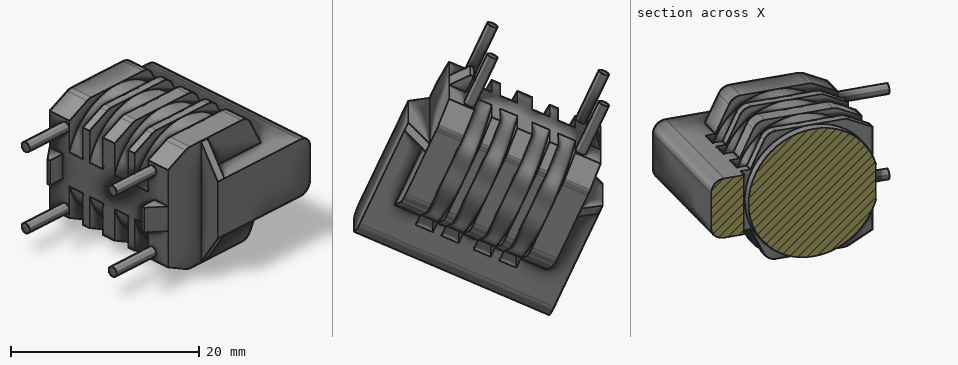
import cadquery as cq

OVERLAP = 0.25

BOBBIN_WIDTH = 17.7
BOBBIN_HALF_HEIGHT = 7.5
FRONT_SLOPE_DEPTH = 3.0
FRONT_SLOPE_DROP = FRONT_SLOPE_DEPTH / 2
REAR_SLOPE_START = 12.05
BOBBIN_EDGE_RADIUS = 1.5

CORE_WIDTH = 22.7
CORE_HALF_HEIGHT = 3.5
CORE_FRONT = 5.0
CORE_REAR = 19.0
CORE_EDGE_RADIUS = 1.5
REAR_SLOPE_DEPTH = (BOBBIN_HALF_HEIGHT - CORE_HALF_HEIGHT) / 2

FLANGE_THICKNESS = 1.0
FLANGE_HALF_HEIGHT = 7.4

WINDING_RADIUS = 7.5
WINDING_CENTER = 7.2
SLOT_WIDTH = 2.0
SLOT_REAR = 15.18
INNER_SLOT_X = 1.88
SLOT_PITCH = 3.0
OUTER_SLOT_X = INNER_SLOT_X + SLOT_PITCH
SLOT_CENTERS = (-OUTER_SLOT_X, -INNER_SLOT_X, INNER_SLOT_X, OUTER_SLOT_X)

PIN_DIAMETER = 1.2
PIN_LENGTH = 6.0
PIN_SPACING_X = 13.0
PIN_SPACING_Z = 10.0

TAB_LENGTH = 1.95
TAB_HEIGHT = 3.05
TAB_BASE_WIDTH = 2.0
TAB_TIP_WIDTH = 0.4


def make_bobbin():
    """Block with sloping front and rear, rounded where the slopes meet the flat top and bottom."""
    front_z = BOBBIN_HALF_HEIGHT - FRONT_SLOPE_DROP
    rear_y = REAR_SLOPE_START + REAR_SLOPE_DEPTH
    upper_profile = [
        (0, front_z),
        (FRONT_SLOPE_DEPTH, BOBBIN_HALF_HEIGHT),
        (REAR_SLOPE_START, BOBBIN_HALF_HEIGHT),
        (rear_y, CORE_HALF_HEIGHT),
    ]
    lower_profile = [(y, -z) for y, z in reversed(upper_profile)]
    block = (
        cq.Workplane("YZ")
        .polyline(upper_profile + lower_profile)
        .close()
        .extrude(BOBBIN_WIDTH / 2, both=True)
    )
    return block.edges(">Z or <Z").edges("|X").fillet(BOBBIN_EDGE_RADIUS)


def make_core():
    """Wide bar behind the bobbin, with rounded rear edges."""
    depth = CORE_REAR - CORE_FRONT
    bar = cq.Workplane("XY").box(CORE_WIDTH, depth, 2 * CORE_HALF_HEIGHT)
    bar = bar.edges("|X and >Y").fillet(CORE_EDGE_RADIUS)
    return bar.translate((0, CORE_FRONT + depth / 2, 0))


def make_flange():
    """Eight-sided plate at the front of the core."""
    right_side = [
        (BOBBIN_WIDTH / 2, -FLANGE_HALF_HEIGHT),
        (CORE_WIDTH / 2, -CORE_HALF_HEIGHT),
        (CORE_WIDTH / 2, CORE_HALF_HEIGHT),
        (BOBBIN_WIDTH / 2, FLANGE_HALF_HEIGHT),
    ]
    left_side = [(-x, -z) for x, z in right_side]
    return (
        cq.Workplane("XZ", origin=(0, CORE_FRONT, 0))
        .polyline(right_side + left_side)
        .close()
        .extrude(-FLANGE_THICKNESS)
    )


def make_slot(center_x):
    """Through slot, open at the mounting face."""
    slot = cq.Workplane("XY").box(SLOT_WIDTH, SLOT_REAR, 2 * BOBBIN_HALF_HEIGHT)
    return slot.translate((center_x, SLOT_REAR / 2, 0))


def make_winding(center_x):
    """Disc that fills its slot and is cut flush with the mounting face."""
    disc = (
        cq.Workplane("YZ", origin=(center_x, WINDING_CENTER, 0))
        .circle(WINDING_RADIUS)
        .extrude(SLOT_WIDTH / 2, both=True)
    )
    return disc.intersect(make_slot(center_x))


def make_pins():
    """Four round pins on the corners of a rectangle."""
    return (
        cq.Workplane("XZ", origin=(0, OVERLAP, 0))
        .rect(PIN_SPACING_X, PIN_SPACING_Z, forConstruction=True)
        .vertices()
        .circle(PIN_DIAMETER / 2)
        .extrude(PIN_LENGTH + OVERLAP)
    )


def make_tab():
    """Tab on the +X side, sloping inward from the bobbin side to its tip."""
    outer_x = BOBBIN_WIDTH / 2
    inner_x = outer_x - TAB_BASE_WIDTH
    outline = [
        (inner_x, OVERLAP),
        (outer_x, OVERLAP),
        (outer_x, 0),
        (inner_x + TAB_TIP_WIDTH, -TAB_LENGTH),
        (inner_x, -TAB_LENGTH),
    ]
    return cq.Workplane("XY").polyline(outline).close().extrude(TAB_HEIGHT / 2, both=True)


result = make_bobbin().union(make_core()).union(make_flange())
for slot_x in SLOT_CENTERS:
    result = result.cut(make_slot(slot_x)).union(make_winding(slot_x))

tab = make_tab()
result = result.union(make_pins()).union(tab).union(tab.mirror("YZ"))